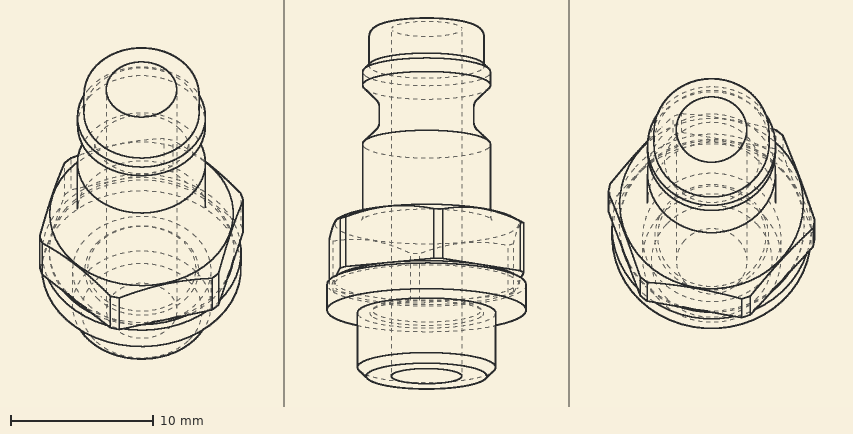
import cadquery as cq
import math

total_height = 25.0
bore_diameter = 4.95

stud_radius = 9.72 / 2
stud_height = 4.55
stud_chamfer = 0.62

undercut_bottom_radius = 4.0
undercut_top_radius = 3.8

flange_radius = 14.0 / 2
flange_bottom = 4.75
flange_top = 6.6
collar_radius = 13.0 / 2

hex_across_flats = 13.0
hex_corner_diameter = 14.65
hex_bottom = 6.88
hex_top = 10.95
hex_top_face_diameter = 12.9
hex_chamfer_angle = 30.0

body_radius = 9.0 / 2
body_root_fillet = 0.5
body_top = 16.7
groove_radius = 6.65 / 2
groove_fillet = 1.0
rim_bottom = 20.92
rim_top = 21.9
tip_radius = 8.1 / 2
tip_fillet = 0.6

cos_45 = math.cos(math.radians(45))
groove_arc_height = groove_fillet * cos_45
cone_inner_radius = groove_radius + groove_fillet * (1 - cos_45)
cone_height = body_radius - cone_inner_radius
groove_wall_bottom = body_top + cone_height + groove_arc_height
groove_wall_top = rim_bottom - cone_height - groove_arc_height


def arc_midpoint(center_r, center_z, radius, angle):
    """Point on a profile arc at the given angle in degrees."""
    turn = math.radians(angle)
    return center_r + radius * math.cos(turn), center_z + radius * math.sin(turn)


def make_lower_end():
    """Stud, undercut, flange and collar, up to the underside of the hexagon."""
    profile = (
        cq.Workplane("XZ")
        .lineTo(stud_radius - stud_chamfer, 0)
        .lineTo(stud_radius, stud_chamfer)
        .lineTo(stud_radius, stud_height)
        .lineTo(undercut_bottom_radius, stud_height)
        .lineTo(undercut_top_radius, flange_bottom)
        .lineTo(flange_radius, flange_bottom)
        .lineTo(flange_radius, flange_top)
        .lineTo(collar_radius, flange_top)
        .lineTo(collar_radius, hex_bottom)
        .lineTo(0, hex_bottom)
        .close()
    )
    return profile.revolve(360, (0, 0, 0), (0, 1, 0))


def make_hexagon():
    """Hexagon with corners along Y, cylindrically trimmed corners and a conical top chamfer."""
    height = hex_top - hex_bottom
    corner_radius = hex_corner_diameter / 2
    top_face_radius = hex_top_face_diameter / 2
    chamfer_drop = (corner_radius - top_face_radius) * math.tan(math.radians(hex_chamfer_angle))
    prism = (
        cq.Workplane("XY", origin=(0, 0, hex_bottom))
        .polygon(6, hex_across_flats, circumscribed=True)
        .extrude(height)
    )
    envelope = (
        cq.Workplane("XZ", origin=(0, 0, hex_bottom))
        .lineTo(corner_radius, 0)
        .lineTo(corner_radius, height - chamfer_drop)
        .lineTo(top_face_radius, height)
        .lineTo(0, height)
        .close()
        .revolve(360, (0, 0, 0), (0, 1, 0))
    )
    return prism.intersect(envelope)


def make_plug():
    """Round plug above the hexagon with its locking groove, rim and tip."""
    root_r = body_radius + body_root_fillet
    root_z = hex_top + body_root_fillet
    groove_center_r = groove_radius + groove_fillet
    rim_chamfer = body_radius - tip_radius
    tip_center_r = tip_radius - tip_fillet
    tip_center_z = total_height - tip_fillet
    profile = (
        cq.Workplane("XZ")
        .moveTo(0, hex_top)
        .lineTo(root_r, hex_top)
        .threePointArc(arc_midpoint(root_r, root_z, body_root_fillet, 225), (body_radius, root_z))
        .lineTo(body_radius, body_top)
        .lineTo(cone_inner_radius, body_top + cone_height)
        .threePointArc(
            arc_midpoint(groove_center_r, groove_wall_bottom, groove_fillet, 202.5),
            (groove_radius, groove_wall_bottom),
        )
        .lineTo(groove_radius, groove_wall_top)
        .threePointArc(
            arc_midpoint(groove_center_r, groove_wall_top, groove_fillet, 157.5),
            (cone_inner_radius, rim_bottom - cone_height),
        )
        .lineTo(body_radius, rim_bottom)
        .lineTo(body_radius, rim_top)
        .lineTo(tip_radius, rim_top + rim_chamfer)
        .lineTo(tip_radius, tip_center_z)
        .threePointArc(
            arc_midpoint(tip_center_r, tip_center_z, tip_fillet, 45),
            (tip_center_r, total_height),
        )
        .lineTo(0, total_height)
        .close()
    )
    return profile.revolve(360, (0, 0, 0), (0, 1, 0))


bore = cq.Workplane("XY").circle(bore_diameter / 2).extrude(total_height)

result = make_lower_end().union(make_hexagon()).union(make_plug()).cut(bore)